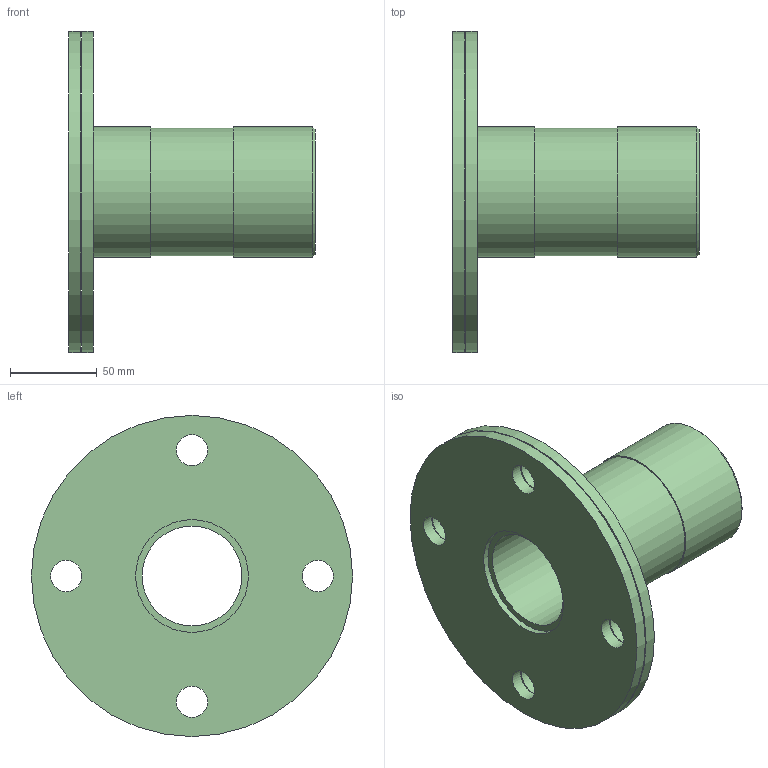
import cadquery as cq

total_length = 142.0
flange_diameter = 185.0
barrel_diameter = 75.0
end_chamfer = 1.5

plate_thickness = 6.8
groove_width = 0.6
groove_floor_diameter = 97.5
flange_thickness = 2 * plate_thickness + groove_width

relief_diameter = 73.5
relief_start = 47.2
relief_length = 47.5

bore_diameter = 57.5
recess_diameter = 65.0
recess_depth = 3.5

bolt_hole_count = 4
bolt_hole_diameter = 18.0
bolt_circle_diameter = 145.0


def cylinder(start, length, diameter):
    """Cylinder on the X axis, running from start towards +X."""
    return cq.Workplane("YZ", origin=(start, 0, 0)).circle(diameter / 2).extrude(length)


def ring(start, length, outer_diameter, inner_diameter):
    """Tube on the X axis, used to cut a groove into an outer surface."""
    return cylinder(start, length, outer_diameter).cut(cylinder(start, length, inner_diameter))


def make_flange():
    flange = cylinder(0, flange_thickness, flange_diameter)
    groove = ring(plate_thickness, groove_width, flange_diameter, groove_floor_diameter)
    return flange.cut(groove)


def make_barrel():
    barrel = cylinder(0, total_length, barrel_diameter).faces(">X").chamfer(end_chamfer)
    relief = ring(relief_start, relief_length, barrel_diameter, relief_diameter)
    return barrel.cut(relief)


def make_bore():
    bore = cylinder(0, total_length, bore_diameter)
    return bore.union(cylinder(0, recess_depth, recess_diameter))


def make_bolt_holes():
    return (
        cq.Workplane("YZ")
        .polarArray(bolt_circle_diameter / 2, 0, 360, bolt_hole_count)
        .circle(bolt_hole_diameter / 2)
        .extrude(flange_thickness)
    )


result = make_flange().union(make_barrel()).cut(make_bore()).cut(make_bolt_holes())